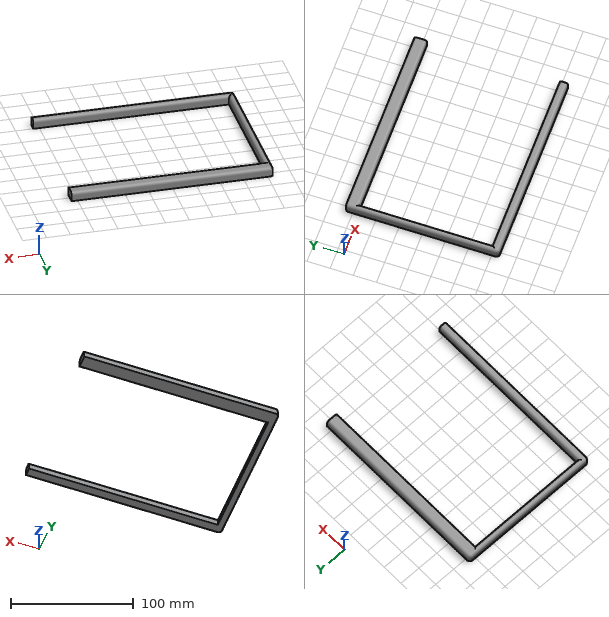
import cadquery as cq

length = 170.0
depth = 133.0
height = 8.0

front_bar_width = 7.3
back_bar_width = 11.2
side_bar_width = 5.5

corner_radius = 3.2
outer_edge_radius = 2.7
inner_edge_radius = 2.5


def rounded_plate():
    """Plate with rounded closed-end corners and a rounded outer top edge."""
    plate = cq.Workplane("XY").box(length, depth, height, centered=False)
    plate = plate.edges("|Z and <X").fillet(corner_radius)
    return plate.faces(">Z").edges("not >X").fillet(outer_edge_radius)


def cut_opening(plate):
    """Cut the space between the bars and round the top edges along it."""
    opening_depth = depth - front_bar_width - back_bar_width
    opening = (
        cq.Workplane("XY")
        .box(length - side_bar_width, opening_depth, height, centered=False)
        .translate((side_bar_width, front_bar_width, 0))
    )
    frame = plate.cut(opening)
    tolerance = 0.2
    opening_edges = cq.selectors.BoxSelector(
        (side_bar_width - tolerance, front_bar_width - tolerance, height - tolerance),
        (length - tolerance, depth - back_bar_width + tolerance, height + tolerance),
    )
    return frame.edges(opening_edges).fillet(inner_edge_radius)


result = cut_opening(rounded_plate())